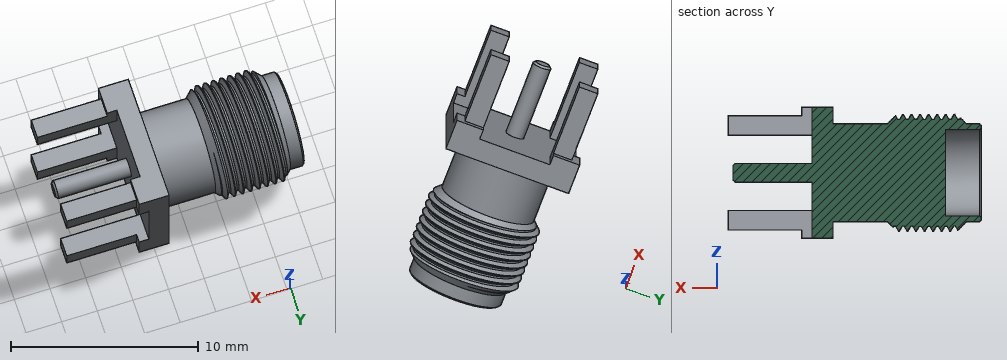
import cadquery as cq
import math

overall_length = 13.5

barrel_radius = 2.625
rim_outer_chamfer = 0.1
bore_radius = 2.3
bore_depth = 1.9
bore_mouth_chamfer = 0.1

collar_start = 0.8
collar_end = 5.0
crest_radius = 3.125
root_radius = 2.865
thread_pitch = 0.456
crest_width = 0.05
thread_half_angle = math.radians(30)
first_crest_x = 1.434
groove_clearance = 0.02
groove_run_out = 2 * thread_pitch

flange_size = 7.0
flange_start = 7.9
flange_thickness = 1.14
foot_size = 1.5
foot_height = 0.54
post_size = 1.05

pin_radius = 0.51
pin_end = 13.25
pin_tip_chamfer = 0.12

flange_back = flange_start + flange_thickness
foot_end = flange_back + foot_height
post_length = overall_length - foot_end


def rod_along_x(start, end, radius):
    return cq.Workplane("YZ", origin=(start, 0, 0)).circle(radius).extrude(end - start)


def make_barrel():
    return rod_along_x(0, flange_start, barrel_radius).faces("<X").chamfer(rim_outer_chamfer)


def make_thread_groove():
    """Helical V groove with a flat root, right-handed about X, running out past both chamfers."""
    cutter_radius = crest_radius + groove_clearance
    flank_slope = math.tan(thread_half_angle)
    crest_half_gap = (thread_pitch - crest_width) / 2
    root_half_gap = crest_half_gap - (crest_radius - root_radius) * flank_slope
    outer_half_gap = crest_half_gap + groove_clearance * flank_slope
    first_gap_x = first_crest_x - thread_pitch / 2
    groove_start = first_gap_x - thread_pitch
    turns = math.ceil((collar_end - groove_start) / thread_pitch)

    profile = cq.Workplane("XZ").polyline([
        (groove_start - root_half_gap, root_radius),
        (groove_start + root_half_gap, root_radius),
        (groove_start + outer_half_gap, cutter_radius),
        (groove_start - outer_half_gap, cutter_radius),
    ]).close()
    path = cq.Wire.makeHelix(
        thread_pitch,
        turns * thread_pitch,
        root_radius,
        center=cq.Vector(groove_start, 0, 0),
        dir=cq.Vector(1, 0, 0),
    )
    return profile.sweep(path, isFrenet=True)


def make_collar():
    """Threaded collar, its ends chamfered down to the barrel diameter."""
    rod = rod_along_x(collar_start - groove_run_out, collar_end + groove_run_out, crest_radius)
    threaded_rod = rod.cut(make_thread_groove())
    chamfer = crest_radius - barrel_radius
    envelope = rod_along_x(collar_start, collar_end, crest_radius).faces("<X or >X").chamfer(chamfer)
    return threaded_rod.intersect(envelope)


def make_bore():
    bore = rod_along_x(0, bore_depth, bore_radius)
    mouth = cq.Workplane("YZ").circle(bore_radius + bore_mouth_chamfer)
    mouth = mouth.workplane(offset=bore_mouth_chamfer).circle(bore_radius).loft()
    return bore.union(mouth)


def make_flange():
    flange = cq.Workplane("YZ", origin=(flange_start, 0, 0))
    return flange.rect(flange_size, flange_size).extrude(flange_thickness)


def corner_blocks(start, size, center_spacing, length):
    """Four square blocks along X, one in each corner of the flange."""
    plane = cq.Workplane("YZ", origin=(start, 0, 0))
    centers = plane.rect(center_spacing, center_spacing, forConstruction=True).vertices()
    return centers.rect(size, size).extrude(length)


def make_pin():
    return rod_along_x(flange_back, pin_end, pin_radius).faces(">X").chamfer(pin_tip_chamfer)


foot_spacing = flange_size - foot_size
post_spacing = flange_size - 2 * foot_size + post_size

result = (
    make_barrel()
    .union(make_collar())
    .cut(make_bore())
    .union(make_flange())
    .union(corner_blocks(flange_back, foot_size, foot_spacing, foot_height))
    .union(corner_blocks(foot_end, post_size, post_spacing, post_length))
    .union(make_pin())
)